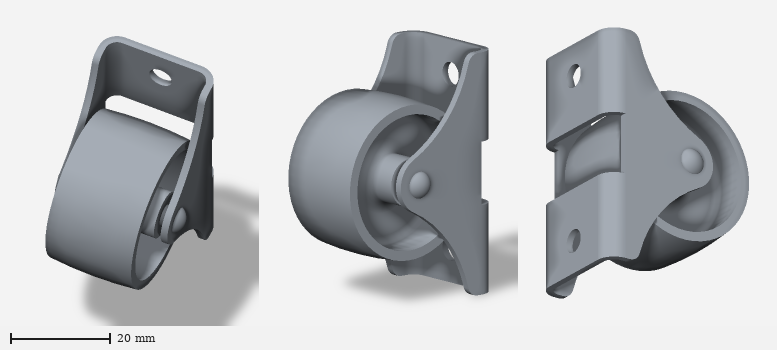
import cadquery as cq
import math

bracket_height = 50.0
bracket_width = 25.0
sheet = 1.5
bend_radius = 4.0
corner_center_y = -5.1
corner_radius = 2.5
flank_radius = 28.0
nose_radius = 6.0
nose_reach = 25.5
notch_height = 13.1
mount_hole_diameter = 5.0
mount_hole_offset = 18.0

axle_y = -20.45
wheel_radius = 16.5
wheel_edge_radius = 16.0
wheel_width = 19.0
rim_inner_radius = 14.0
rim_fillet = 1.5
hub_radius = 5.0
hub_fillet = 2.5
web_thickness = 2.5

pin_diameter = 4.6
head_radius = 2.75
left_head_height = 1.3
right_head_height = 1.6


def point_toward(start, target, distance):
    """Point at a distance from start on the line to target."""
    span = math.dist(start, target)
    return tuple(s + (t - s) * distance / span for s, t in zip(start, target))


def cheek_profile():
    """Solid whose YZ outline has concave flanks tangent to the corners and the nose."""
    half_height = bracket_height / 2
    corner = (corner_center_y, half_height - corner_radius)
    nose = (nose_radius - nose_reach, 0.0)

    base = math.dist(nose, corner)
    nose_side = flank_radius + nose_radius
    corner_side = flank_radius + corner_radius
    along = (base**2 + nose_side**2 - corner_side**2) / (2 * base)
    across = math.sqrt(nose_side**2 - along**2)
    unit_y = (corner[0] - nose[0]) / base
    unit_z = (corner[1] - nose[1]) / base
    flank = (nose[0] + along * unit_y - across * unit_z, nose[1] + along * unit_z + across * unit_y)

    corner_start = (corner_center_y, half_height)
    corner_end = point_toward(corner, flank, corner_radius)
    corner_chord_middle = tuple((a + b) / 2 for a, b in zip(corner_start, corner_end))
    corner_middle = point_toward(corner, corner_chord_middle, corner_radius)
    nose_start = point_toward(nose, flank, nose_radius)
    flank_chord_middle = tuple((a + b) / 2 for a, b in zip(corner_end, nose_start))
    flank_middle = point_toward(flank, flank_chord_middle, flank_radius)

    def mirrored(point):
        return (point[0], -point[1])

    return (
        cq.Workplane("YZ")
        .moveTo(0, half_height)
        .lineTo(*corner_start)
        .threePointArc(corner_middle, corner_end)
        .threePointArc(flank_middle, nose_start)
        .threePointArc((-nose_reach, 0), mirrored(nose_start))
        .threePointArc(mirrored(flank_middle), mirrored(corner_end))
        .threePointArc(mirrored(corner_middle), mirrored(corner_start))
        .lineTo(0, -half_height)
        .close()
        .extrude(bracket_width / 2, both=True)
    )


def bent_channel():
    """U-shaped sheet with rounded bends, long enough to hold the nose."""
    outer = (
        cq.Workplane("XY")
        .box(bracket_width, nose_reach, bracket_height, centered=(True, False, True))
        .translate((0, -nose_reach, 0))
        .edges("|Z and >Y")
        .fillet(bend_radius)
    )
    inner = (
        cq.Workplane("XY")
        .box(bracket_width - 2 * sheet, nose_reach, bracket_height, centered=(True, False, True))
        .translate((0, -nose_reach - sheet, 0))
        .edges("|Z and >Y")
        .fillet(bend_radius - sheet)
    )
    return outer.cut(inner)


def make_bracket():
    notch = cq.Workplane("XY").box(bracket_width, 2 * bend_radius, notch_height)
    mount_holes = (
        cq.Workplane("XZ")
        .pushPoints([(0, mount_hole_offset), (0, -mount_hole_offset)])
        .circle(mount_hole_diameter / 2)
        .extrude(sheet)
    )
    axle_hole = (
        cq.Workplane("YZ")
        .center(axle_y, 0)
        .circle(pin_diameter / 2)
        .extrude(bracket_width / 2, both=True)
    )
    return bent_channel().intersect(cheek_profile()).cut(notch).cut(mount_holes).cut(axle_hole)


def make_wheel():
    """Half section in X and radius, revolved about the axle line."""
    half_width = wheel_width / 2
    half_web = web_thickness / 2
    bore_radius = pin_diameter / 2
    diagonal = math.sqrt(0.5)

    hub_fillet_x = half_web + hub_fillet
    hub_fillet_r = hub_radius + hub_fillet
    rim_fillet_x = half_web + rim_fillet
    rim_fillet_r = rim_inner_radius - rim_fillet
    hub_middle = (hub_fillet_x - hub_fillet * diagonal, hub_fillet_r - hub_fillet * diagonal)
    rim_middle = (rim_fillet_x - rim_fillet * diagonal, rim_fillet_r + rim_fillet * diagonal)

    return (
        cq.Workplane("XY")
        .moveTo(0, bore_radius)
        .lineTo(half_width, bore_radius)
        .lineTo(half_width, hub_radius)
        .lineTo(hub_fillet_x, hub_radius)
        .threePointArc(hub_middle, (half_web, hub_fillet_r))
        .lineTo(half_web, rim_fillet_r)
        .threePointArc(rim_middle, (rim_fillet_x, rim_inner_radius))
        .lineTo(half_width, rim_inner_radius)
        .lineTo(half_width, wheel_edge_radius)
        .threePointArc((0, wheel_radius), (-half_width, wheel_edge_radius))
        .lineTo(-half_width, rim_inner_radius)
        .lineTo(-rim_fillet_x, rim_inner_radius)
        .threePointArc((-rim_middle[0], rim_middle[1]), (-half_web, rim_fillet_r))
        .lineTo(-half_web, hub_fillet_r)
        .threePointArc((-hub_middle[0], hub_middle[1]), (-hub_fillet_x, hub_radius))
        .lineTo(-half_width, hub_radius)
        .lineTo(-half_width, bore_radius)
        .close()
        .revolve(360, (0, 0, 0), (1, 0, 0))
        .translate((0, axle_y, 0))
    )


def dome_middle(height):
    """Distance beyond the cheek and radius of the point halfway along a dome's arc."""
    dome_radius = (head_radius**2 + height**2) / (2 * height)
    half_sweep = math.asin(head_radius / dome_radius) / 2
    beyond_cheek = height - dome_radius * (1 - math.cos(half_sweep))
    return beyond_cheek, dome_radius * math.sin(half_sweep)


def make_axle():
    """Pin through wheel and cheeks with a spherical cap at each end, revolved about the axle line."""
    cheek_x = bracket_width / 2
    pin_radius = pin_diameter / 2
    left_beyond, left_middle_r = dome_middle(left_head_height)
    right_beyond, right_middle_r = dome_middle(right_head_height)

    return (
        cq.Workplane("XY")
        .moveTo(-cheek_x - left_head_height, 0)
        .threePointArc((-cheek_x - left_beyond, left_middle_r), (-cheek_x, head_radius))
        .lineTo(-cheek_x, pin_radius)
        .lineTo(cheek_x, pin_radius)
        .lineTo(cheek_x, head_radius)
        .threePointArc((cheek_x + right_beyond, right_middle_r), (cheek_x + right_head_height, 0))
        .close()
        .revolve(360, (0, 0, 0), (1, 0, 0))
        .translate((0, axle_y, 0))
    )


bracket = make_bracket()
wheel = make_wheel()
axle = make_axle()

result = cq.Compound.makeCompound([bracket.solids().val(), wheel.val(), axle.val()])